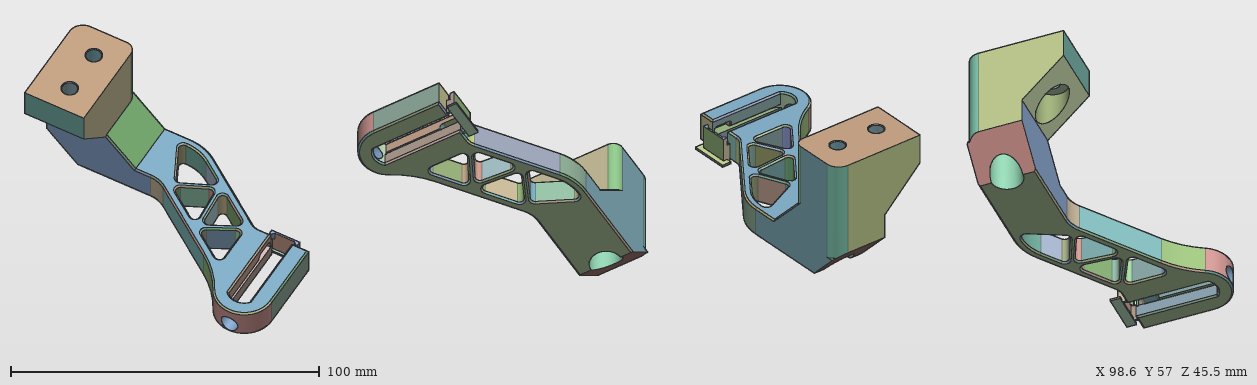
import cadquery as cq
import math

block_length = 22.0
block_depth = 34.7
block_height = 45.5
arm_depth = 20.1
overhang_bottom = 35.0
overhang_root = 20.7
bevel = 12.1
outer_corner_radius = 4.9
inner_corner_radius = 3.45

bolt_x = 11.8
bolt_ys = (-10.0, -25.9)
bolt_radius = 2.6
bolt_chamfer = 0.3
counterbore_radius = 5.5
counterbore_top = overhang_bottom

arm_length = 98.6
arm_height = 10.5
ramp_foot_x = 32.8
edge_chamfer = 0.6
run_angle = 36.0
back_bend_x = 48.0
front_bend_x = 41.7
back_bend_radius = 18.3
front_bend_radius = 9.9
shoulder_y = -22.2
shoulder_radius = 4.9
end_radius = 10.2
end_x = arm_length - end_radius
end_y = -46.8
flare_radius = 34.1

rim = 2.9
window_corner_radius = 1.6
first_window = ((39.4, -rim), (46.7, -17.9), (59.7, -12.0))
other_windows = (
    ((46.7, -20.1), (60.8, -30.4), (59.5, -14.2)),
    ((61.6, -13.4), (62.8, -29.3), (75.0, -23.2)),
    ((62.9, -31.6), (75.8, -41.0), (75.8, -24.9)),
)

slot_end_radius = 5.1
slot_lower_half = 3.6
slot_upper_half = 3.89
ledge_z = 4.8
groove_top = 5.9
groove_half = slot_end_radius
pocket_half = 7.0
pocket_back_y = -22.9
pocket_front_y = -30.1
pocket_top = 7.8
pocket_corner_radius = 1.4
cross_hole_radius = 3.1
cross_hole_z = 3.9

flange_half = 7.1
flange_back_y = -17.5
flange_front_y = -21.0
flange_thickness = 0.8
clip_half = 5.2
clip_wall = 0.7
clip_back_y = -19.4
leg_height = 6.2
clip_height = 9.0
gusset = 0.9

run_slope = math.tan(math.radians(run_angle))
rim_rise = rim / math.cos(math.radians(run_angle))


def box(x0, x1, y0, y1, z0, z1):
    return cq.Workplane("XY").box(x1 - x0, y1 - y0, z1 - z0, centered=False).translate((x0, y0, z0))


def upright_edge(x, y, height):
    """Selector for the vertical edge at x, y of a prism standing on Z = 0."""
    return cq.selectors.NearestToPointSelector((x, y, height / 2))


def front_run_y(x):
    return -arm_depth - (x - front_bend_x) * run_slope


def make_block():
    side = [
        (0, 0),
        (-arm_depth, 0),
        (-arm_depth, overhang_root),
        (-block_depth, overhang_bottom),
        (-block_depth, block_height),
        (0, block_height),
    ]
    block = cq.Workplane("YZ").polyline(side).close().extrude(block_length)
    block = block.edges(upright_edge(0, 0, block_height)).fillet(outer_corner_radius)
    block = block.edges(upright_edge(block_length, 0, block_height)).fillet(inner_corner_radius)
    return block


def make_arm_plan():
    """Prism of the arm outline."""
    shoulder_x = back_bend_x - shoulder_y / run_slope
    a = math.radians(run_angle)
    offset = (end_x - front_bend_x) * math.sin(a) + (end_y + arm_depth) * math.cos(a)
    along = (end_x - front_bend_x) * math.cos(a) - (end_y + arm_depth) * math.sin(a)
    reach = along - math.sqrt(end_radius ** 2 - offset ** 2)
    entry = (front_bend_x + reach * math.cos(a), front_run_y(front_bend_x + reach * math.cos(a)))
    outline = [
        (0, 0),
        (back_bend_x, 0),
        (shoulder_x, shoulder_y),
        (arm_length, shoulder_y),
        (arm_length, end_y),
        entry,
        (front_bend_x, -arm_depth),
        (0, -arm_depth),
    ]
    plan = cq.Workplane("XY").polyline(outline).close().extrude(arm_height)
    end = cq.Workplane("XY").center(end_x, end_y).circle(end_radius).extrude(arm_height)
    plan = plan.union(end)
    for x, y, radius in (
        (back_bend_x, 0, back_bend_radius),
        (shoulder_x, shoulder_y, shoulder_radius),
        (*entry, flare_radius),
        (front_bend_x, -arm_depth, front_bend_radius),
    ):
        plan = plan.edges(upright_edge(x, y, arm_height)).fillet(radius)
    return plan


def make_windows():
    """Prisms that cut the truss windows."""
    bend = (back_bend_x - (rim_rise - rim) / run_slope, -rim)
    first = cq.Workplane("XY").polyline([*first_window, bend]).close().extrude(arm_height)
    bend_edge = upright_edge(*bend, arm_height)
    corners = cq.selectors.ParallelDirSelector(cq.Vector(0, 0, 1)) - bend_edge
    first = first.edges(corners).fillet(window_corner_radius)
    first = first.edges(bend_edge).fillet(back_bend_radius - rim)
    windows = [first]
    for corner_points in other_windows:
        window = cq.Workplane("XY").polyline(corner_points).close().extrude(arm_height)
        windows.append(window.edges("|Z").fillet(window_corner_radius))
    return windows


def slot_outline(half_width, open_y, z):
    """Slot outline at height z, open end at open_y, closed by the slot end circle."""
    corner_y = end_y - math.sqrt(slot_end_radius ** 2 - half_width ** 2)
    return (
        cq.Workplane("XY", origin=(end_x, 0, z))
        .moveTo(-half_width, open_y)
        .lineTo(-half_width, corner_y)
        .threePointArc((0, end_y - slot_end_radius), (half_width, corner_y))
        .lineTo(half_width, open_y)
        .close()
    )


def make_arm():
    """Flat arm with its windows, chamfered along the whole top."""
    arm = make_arm_plan()
    for window in make_windows():
        arm = arm.cut(window)
    return arm.faces(">Z").edges().chamfer(edge_chamfer)


def make_ramp():
    """45 degree wedge between the arm and the block, sunk into the arm so the chamfers mitre."""
    top_x = block_length - inner_corner_radius - edge_chamfer
    top_z = arm_height + ramp_foot_x - top_x
    low_z = arm_height - 2 * edge_chamfer
    low_x = ramp_foot_x + arm_height - low_z
    side = [(top_x, 0), (low_x, 0), (low_x, low_z), (top_x, top_z)]
    ramp = cq.Workplane("XZ").polyline(side).close().extrude(arm_depth)
    sloped_face = cq.selectors.NearestToPointSelector(((top_x + low_x) / 2, -arm_depth / 2, (top_z + low_z) / 2))
    return ramp.faces(sloped_face).edges("not |Y").chamfer(edge_chamfer)


def cut_slot(bracket):
    """Stepped slot with chamfered rims at the top and bottom."""
    open_y = shoulder_y + slot_end_radius
    lower = slot_outline(slot_lower_half, open_y, 0).extrude(arm_height)
    upper = slot_outline(slot_upper_half, open_y, ledge_z).extrude(arm_height - ledge_z)
    top_rim = slot_outline(slot_upper_half, open_y, arm_height - edge_chamfer).extrude(edge_chamfer, taper=-45)
    bottom_rim = slot_outline(slot_lower_half, open_y, edge_chamfer).extrude(-edge_chamfer, taper=-45)
    return bracket.cut(lower).cut(upper).cut(top_rim).cut(bottom_rim)


def cut_clip_grooves(bracket):
    """Groove along both slot walls, and the taller pocket near the shoulder."""
    groove = slot_outline(groove_half, pocket_back_y, ledge_z).extrude(groove_top - ledge_z)
    pocket = box(end_x - pocket_half, end_x + pocket_half, pocket_front_y, pocket_back_y, ledge_z, pocket_top)
    pocket = pocket.edges("|X and >Z").fillet(pocket_corner_radius)
    return bracket.cut(groove).cut(pocket)


def cut_cross_hole(bracket):
    """Hole along Y from the round end into the slot."""
    hole = cq.Workplane("XZ", origin=(end_x, end_y, cross_hole_z)).circle(cross_hole_radius)
    return bracket.cut(hole.extrude(2 * end_radius))


def cut_bolt_holes(bracket):
    for y in bolt_ys:
        hole = cq.Workplane("XY", origin=(bolt_x, y, 0)).circle(bolt_radius).extrude(block_height)
        mouth = cq.Workplane("XY", origin=(bolt_x, y, block_height)).circle(bolt_radius + bolt_chamfer)
        mouth = mouth.extrude(-bolt_chamfer, taper=45)
        counterbore = cq.Workplane("XY", origin=(bolt_x, y, 0)).circle(counterbore_radius)
        bracket = bracket.cut(hole).cut(mouth).cut(counterbore.extrude(counterbore_top))
    return bracket


def make_bracket():
    bracket = make_block().union(make_arm()).union(make_ramp())
    bevel_side = [(0, 0), (bevel, 0), (0, bevel)]
    bracket = bracket.cut(cq.Workplane("XZ").polyline(bevel_side).close().extrude(block_depth))
    bracket = bracket.faces("<Z").edges("not <X").chamfer(edge_chamfer)
    bracket = cut_slot(bracket)
    bracket = cut_clip_grooves(bracket)
    bracket = cut_cross_hole(bracket)
    return cut_bolt_holes(bracket)


def make_clip():
    """Flange with a thin U-shaped wall standing on it, its corners braced at the top."""
    flange = box(end_x - flange_half, end_x + flange_half, flange_front_y, flange_back_y, 0, flange_thickness)
    left, right = end_x - clip_half, end_x + clip_half
    inner_y = clip_back_y - clip_wall
    clip = flange.union(box(left, right, inner_y, clip_back_y, 0, clip_height))
    for outer_x, inward in ((left, 1), (right, -1)):
        inner_x = outer_x + inward * clip_wall
        x0, x1 = sorted((outer_x, inner_x))
        clip = clip.union(box(x0, x1, shoulder_y, clip_back_y, 0, leg_height))
        clip = clip.union(box(x0, x1, flange_front_y, clip_back_y, leg_height, clip_height))
        corner = [(inner_x, inner_y), (inner_x + inward * gusset, inner_y), (inner_x, inner_y - gusset)]
        brace = cq.Workplane("XY", origin=(0, 0, leg_height)).polyline(corner).close()
        clip = clip.union(brace.extrude(clip_height - leg_height))
    return clip


bracket = make_bracket()
clip = make_clip()
result = cq.Compound.makeCompound([bracket.val(), clip.val()])